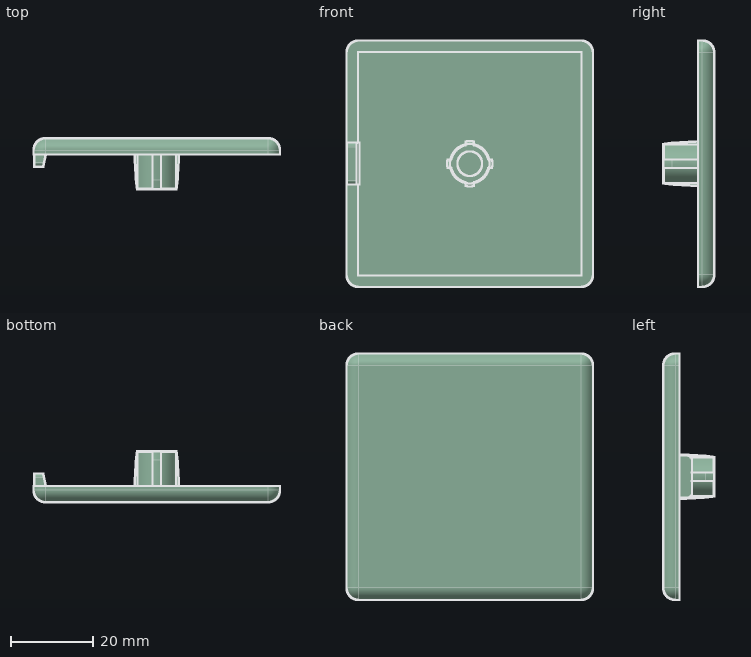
import cadquery as cq

plate_size = 60.0
plate_thickness = 4.0
edge_radius = 3.0

rim_width = 2.8
recess_depth = 1.0
recess_size = plate_size - 2 * rim_width

total_depth = 12.5
boss_height = total_depth - plate_thickness
boss_radius = 4.8
boss_tip_chamfer = 0.2
bore_radius = 3.0

rib_count = 4
rib_width = 2.0
rib_base_radius = 5.5
rib_shoulder_radius = 5.1
rib_tip_radius = boss_radius
rib_lead_in = 2.2

tab_length = 10.2
tab_height = 3.0
tab_edge_inset = 0.2
tab_base_reach = 3.25
tab_tip_reach = 2.4
tab_corner_radius = 1.0


def make_plate():
    plate = cq.Workplane("XY").box(plate_size, plate_thickness, plate_size)
    plate = plate.translate((0, plate_thickness / 2, 0))
    plate = plate.edges("|Y").fillet(edge_radius)
    plate = plate.faces(">Y").edges().fillet(edge_radius)
    recess = cq.Workplane("XY").box(recess_size, recess_depth, recess_size)
    return plate.cut(recess.translate((0, recess_depth / 2, 0)))


def make_boss():
    length = boss_height + recess_depth
    floor = cq.Workplane("XZ", origin=(0, recess_depth, 0))
    boss = floor.circle(boss_radius).extrude(length)
    boss = boss.faces("<Y").edges().chamfer(boss_tip_chamfer)

    envelope = (
        cq.Workplane("XY")
        .moveTo(0, recess_depth)
        .lineTo(rib_base_radius, recess_depth)
        .lineTo(rib_shoulder_radius, rib_lead_in - boss_height)
        .lineTo(rib_tip_radius, -boss_height)
        .lineTo(0, -boss_height)
        .close()
        .revolve(360, (0, 0, 0), (0, 1, 0))
    )
    for index in range(rib_count // 2):
        bar = floor.rect(2 * rib_base_radius, rib_width).extrude(length)
        bar = bar.rotate((0, 0, 0), (0, 1, 0), index * 360 / rib_count)
        boss = boss.union(bar.intersect(envelope))
    return boss.cut(floor.circle(bore_radius).extrude(length))


def make_tab():
    plate_edge = -plate_size / 2
    outer_x = plate_edge + tab_edge_inset
    base_x = plate_edge + tab_base_reach
    tip_x = plate_edge + tab_tip_reach
    tab = (
        cq.Workplane("XY", origin=(0, 0, -tab_length / 2))
        .moveTo(outer_x, recess_depth)
        .lineTo(base_x, recess_depth)
        .lineTo(tip_x, -tab_height)
        .lineTo(outer_x, -tab_height)
        .close()
        .extrude(tab_length)
    )
    tip_ends = tab.faces("<Y").edges("|X")
    return tip_ends.fillet(tab_corner_radius)


result = make_plate().union(make_boss()).union(make_tab())